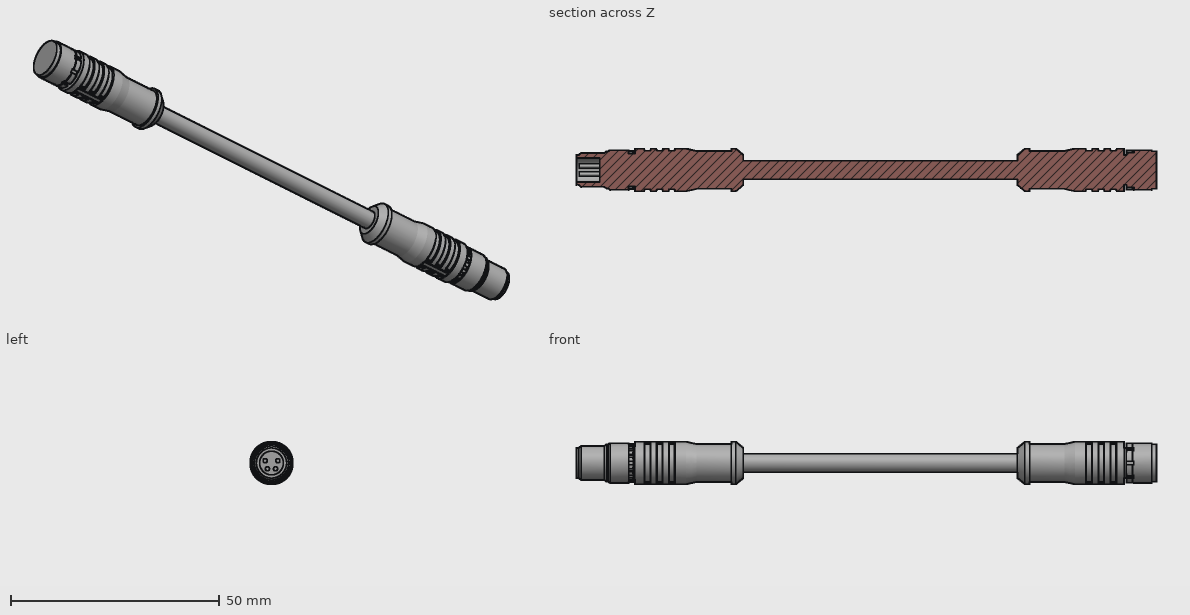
import cadquery as cq

LENGTH = 139.2
CABLE_D = 4.5
OVERLAP = 1.4

BODY_D = 10.3
GRIP_D = 9.2
COLLAR_END_D = 7.2
COLLAR_LENGTH = 1.8
RIM_LENGTH = 1.1
GRIP_LENGTH = 8.4
TAPER_LENGTH = 2.5
PLUG_CABLE_X = 40.1
SOCKET_CABLE_X = 105.8

GROOVE_START = 16.5
GROOVE_COUNT = 3
GROOVE_WIDTH = 1.5
GROOVE_FLOOR_WIDTH = 1.3
GROOVE_PITCH = 2.9
GROOVE_DEPTH = 0.4
RIB_CREST_WIDTH = 2.2
RIB_ROOT_WIDTH = 2.8
SLOT_WIDTH = 1.4
SLOT_DEPTH = 0.3

TIP_D = 7.2
NOSE_D = 8.2
SHOULDER_D = 9.0
COUPLING_D = 9.6
PLUG_NECK_D = 8.0
TIP_END = 0.5
NOSE_START = 1.1
NOSE_END = 6.7
SHOULDER_START = 7.2
SHOULDER_END = 7.7
COUPLING_START = 8.1
COUPLING_END = 12.5
TEETH_END = 13.6
PLUG_BODY_START = 14.0
TOOTH_COUNT = 16
TOOTH_GAP = 0.8
TEETH_D = 9.2

SOCKET_NECK_D = 7.2
SOCKET_BODY_END = 131.5
NUT_START = 132.0
NUT_GROOVE_START = 133.4
NUT_GROOVE_WIDTH = 0.1
NUT_END = 138.1
NUT_GROOVE_D = 9.5
NOTCH_COUNT = 8
NOTCH_WIDTH = 0.8
NOTCH_DEPTH = 0.5
NOTCH_END = 133.8

BORE_D = 5.7
BORE_DEPTH = 5.6
PIN_D = 1.0
PIN_RECESS = 0.7
PIN_PAIRS = ((1.5, 0.5), (1.0, -1.4))


def revolved(profile):
    """Revolve a closed half profile, drawn in XY, about the X axis."""
    return profile.close().revolve(360, (0, 0, 0), (1, 0, 0))


def turned(stations):
    """Solid of revolution about X through (x, diameter) stations."""
    points = [(x, diameter / 2) for x, diameter in stations]
    outline = [(points[0][0], 0)] + points + [(points[-1][0], 0)]
    return revolved(cq.Workplane("XY").polyline(outline))


def rod(x_start, x_end, diameter, y=0, z=0):
    """Cylinder along X."""
    return cq.Workplane("YZ", origin=(x_start, y, z)).circle(diameter / 2).extrude(x_end - x_start)


def bar(x_start, x_end, width, height, z):
    """Rectangular bar along X centred on the given height."""
    return cq.Workplane("YZ", origin=(x_start, 0, z)).rect(width, height).extrude(x_end - x_start)


def bars_around(x_start, x_end, width, root_d, count):
    """Radial bars spaced evenly about X, reaching outwards from the root diameter."""
    bars = cq.Workplane("XY")
    for i in range(count):
        blade = bar(x_start, x_end, width, BODY_D, (root_d + BODY_D) / 2)
        bars = bars.union(blade.rotate((0, 0, 0), (1, 0, 0), i * 360 / count))
    return bars


def groove(start):
    """Ring to cut away for one groove, with sloping walls."""
    inset = (GROOVE_WIDTH - GROOVE_FLOOR_WIDTH) / 2
    floor = BODY_D / 2 - GROOVE_DEPTH
    crest = BODY_D / 2
    outside = crest + OVERLAP
    end = start + GROOVE_WIDTH
    outline = [
        (start, outside), (start, crest), (start + inset, floor),
        (end - inset, floor), (end, crest), (end, outside),
    ]
    return revolved(cq.Workplane("XY").polyline(outline))


def ribs(x_start, x_end):
    """Bars with sloping sides along the top and bottom, which the grooves leave standing."""
    crest = BODY_D / 2
    root = crest - GROOVE_DEPTH
    half_root = RIB_ROOT_WIDTH / 2
    half_crest = RIB_CREST_WIDTH / 2
    half_outline = [(half_root, 0), (half_root, root), (half_crest, crest), (half_crest, BODY_D)]
    outline = half_outline + [(-y, z) for y, z in reversed(half_outline)]
    upper = cq.Workplane("YZ", origin=(x_start, 0, 0)).polyline(outline).close().extrude(x_end - x_start)
    return upper.union(upper.mirror("XY"))


def shell(body_end):
    """Moulded shell from its cable side at x = 0 to the front of its body."""
    rim_start = COLLAR_LENGTH
    rim_end = rim_start + RIM_LENGTH
    grip_end = rim_end + GRIP_LENGTH
    body_start = grip_end + TAPER_LENGTH
    body = turned([
        (0, COLLAR_END_D), (rim_start, BODY_D), (rim_end, BODY_D),
        (rim_end, GRIP_D), (grip_end, GRIP_D),
        (body_start, BODY_D), (body_end, BODY_D),
    ])

    groove_end = GROOVE_START + (GROOVE_COUNT - 1) * GROOVE_PITCH + GROOVE_WIDTH
    standing_ribs = ribs(GROOVE_START, groove_end)
    for i in range(GROOVE_COUNT):
        body = body.cut(groove(GROOVE_START + i * GROOVE_PITCH).cut(standing_ribs))
    for z in (BODY_D / 2, -BODY_D / 2):
        body = body.cut(bar(GROOVE_START, groove_end, SLOT_WIDTH, 2 * SLOT_DEPTH, z))
    return body


def plug():
    """Coupling with bore and pins, joined to its shell."""
    coupling = turned([
        (0, TIP_D), (TIP_END, TIP_D), (NOSE_START, NOSE_D), (NOSE_END, NOSE_D),
        (SHOULDER_START, SHOULDER_D), (SHOULDER_END, SHOULDER_D),
        (COUPLING_START, COUPLING_D), (COUPLING_END, COUPLING_D),
        (COUPLING_END, TEETH_D), (TEETH_END, TEETH_D),
        (TEETH_END, PLUG_NECK_D), (PLUG_BODY_START + OVERLAP, PLUG_NECK_D),
    ])
    coupling = coupling.cut(bars_around(COUPLING_END, TEETH_END, TOOTH_GAP, PLUG_NECK_D, TOOTH_COUNT))
    coupling = coupling.cut(rod(0, BORE_DEPTH, BORE_D))
    for y, z in PIN_PAIRS:
        for side in (1, -1):
            coupling = coupling.union(rod(PIN_RECESS, BORE_DEPTH + OVERLAP, PIN_D, side * y, z))
    body = shell(PLUG_CABLE_X - PLUG_BODY_START).mirror("YZ").translate((PLUG_CABLE_X, 0, 0))
    return coupling.union(body)


def socket():
    """Notched coupling nut, joined to its shell."""
    nut_groove_end = NUT_GROOVE_START + NUT_GROOVE_WIDTH
    coupling = turned([
        (SOCKET_BODY_END - OVERLAP, SOCKET_NECK_D), (NUT_START, SOCKET_NECK_D),
        (NUT_START, COUPLING_D), (NUT_GROOVE_START, COUPLING_D),
        (NUT_GROOVE_START, NUT_GROOVE_D), (nut_groove_end, NUT_GROOVE_D),
        (nut_groove_end, COUPLING_D), (NUT_END, COUPLING_D),
        (NUT_END, SHOULDER_D), (LENGTH, SHOULDER_D),
    ])
    notch_root_d = COUPLING_D - 2 * NOTCH_DEPTH
    coupling = coupling.cut(bars_around(NUT_START, NOTCH_END, NOTCH_WIDTH, notch_root_d, NOTCH_COUNT))
    body = shell(SOCKET_BODY_END - SOCKET_CABLE_X).translate((SOCKET_CABLE_X, 0, 0))
    return coupling.union(body)


cable = rod(PLUG_CABLE_X - OVERLAP, SOCKET_CABLE_X + OVERLAP, CABLE_D)
result = plug().union(cable).union(socket())